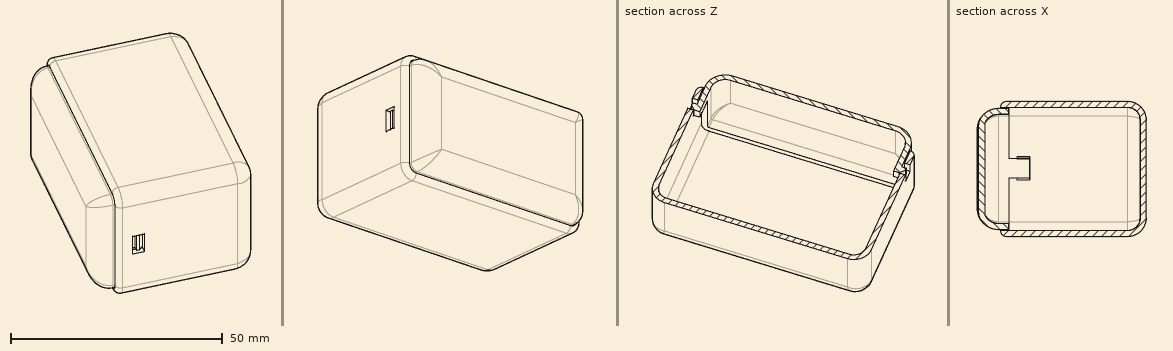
import cadquery as cq

WIDTH = 55.0
DEPTH = 40.0
HEIGHT = 32.0

HOUSING_DEPTH = 34.5
WALL = 1.5
CORNER_RADIUS = 3.5
BACK_RADIUS = 4.45
RIM_RADIUS = 1.5

LID_GAP = 0.15
LID_INSERTION = 2.0
LID_FRONT_RADIUS = 5.05

SLOT_SETBACK = 3.95
SLOT_LENGTH = 2.95
SLOT_HEIGHT = 5.45
LATCH_Z = 0.15

TAB_HEIGHT = 4.6
BARB_CLEARANCE = 1.1
CREST_LENGTH = 0.75
CREST_DEPTH = 0.5

BACK_Y = DEPTH / 2
FRONT_Y = -DEPTH / 2
RIM_Y = BACK_Y - HOUSING_DEPTH
LID_INSET = WALL + LID_GAP
LID_BACK_Y = RIM_Y + LID_INSERTION
SLOT_FRONT_Y = RIM_Y + SLOT_SETBACK


def pillow_block(inset, open_y, closed_y, end_radius):
    """Block inset from the envelope's sides, with a rounded closed end and rounded corners."""
    length = abs(closed_y - open_y)
    closed_face = ">Y" if closed_y > open_y else "<Y"
    block = cq.Workplane("XY").box(WIDTH - 2 * inset, length, HEIGHT - 2 * inset)
    block = block.translate((0, (open_y + closed_y) / 2, 0))
    block = block.faces(closed_face).edges().fillet(end_radius)
    return block.edges("|Y").fillet(CORNER_RADIUS - inset)


def cup_blocks(inset, open_y, closed_y, end_radius):
    """Outside of a cup and the cavity to cut from it, which leaves a wall of even thickness."""
    inner_closed_y = closed_y - WALL if closed_y > open_y else closed_y + WALL
    outside = pillow_block(inset, open_y, closed_y, end_radius)
    inside = pillow_block(inset + WALL, open_y, inner_closed_y, end_radius - WALL)
    return outside, inside


def make_housing():
    outside, inside = cup_blocks(0, RIM_Y, BACK_Y, BACK_RADIUS)
    outside = outside.faces("<Y").edges().fillet(RIM_RADIUS)
    slot = cq.Workplane("XY").box(WIDTH, SLOT_LENGTH, SLOT_HEIGHT)
    slot = slot.translate((0, SLOT_FRONT_Y + SLOT_LENGTH / 2, LATCH_Z))
    return outside.cut(inside).cut(slot)


def make_latch(side):
    """Tab with a square catch toward -Y and a 45 degree lead-in toward +Y; side is -1 or 1 for -X or +X."""
    outer_x = WIDTH / 2 - LID_INSET
    inner_x = outer_x - WALL
    crest_x = WIDTH / 2 - CREST_DEPTH
    catch_y = SLOT_FRONT_Y + BARB_CLEARANCE
    crest_end_y = catch_y + CREST_LENGTH
    tip_y = crest_end_y + crest_x - outer_x
    profile = [
        (inner_x, LID_BACK_Y),
        (outer_x, LID_BACK_Y),
        (outer_x, catch_y),
        (crest_x, catch_y),
        (crest_x, crest_end_y),
        (outer_x, tip_y),
        (inner_x, tip_y),
    ]
    points = [(side * x, y) for x, y in profile]
    middle_plane = cq.Workplane("XY").workplane(offset=LATCH_Z)
    return middle_plane.polyline(points).close().extrude(TAB_HEIGHT / 2, both=True)


def make_lid():
    outside, inside = cup_blocks(LID_INSET, LID_BACK_Y, FRONT_Y, LID_FRONT_RADIUS)
    lid = outside.cut(inside)
    for side in (-1, 1):
        lid = lid.union(make_latch(side))
    return lid


housing = make_housing()
lid = make_lid()
result = cq.Compound.makeCompound([housing.val(), lid.val()])